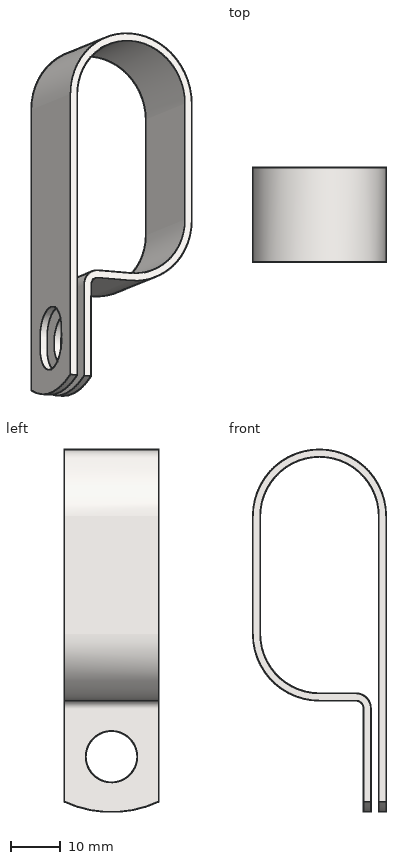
import cadquery as cq
import math

height = 72.9
loop_width = 26.8
strip_width = 19.0
thickness = 1.5

loop_radius = loop_width / 2
straight_length = 23.7
leg_gap = 1.5
bend_inner_radius = 1.5
bend_outer_radius = bend_inner_radius + thickness

hole_diameter = 10.3
hole_height = 11.15
slot_length = 12.75
end_rise = 2.1

inner_radius = loop_radius - thickness
upper_center = height - loop_radius
lower_center = upper_center - straight_length
shelf_bottom = lower_center - loop_radius
shelf_top = shelf_bottom + thickness
short_leg_right = inner_radius - leg_gap
short_leg_left = short_leg_right - thickness
bend_x = short_leg_left - bend_inner_radius
bend_z = shelf_bottom - bend_inner_radius
diagonal = math.sqrt(0.5)


def bent_strip():
    """Constant-thickness strip: long leg, loop, shelf and short leg."""
    return (
        cq.Workplane("XZ")
        .moveTo(loop_radius, 0)
        .lineTo(loop_radius, upper_center)
        .threePointArc((0, height), (-loop_radius, upper_center))
        .lineTo(-loop_radius, lower_center)
        .threePointArc(
            (-loop_radius * diagonal, lower_center - loop_radius * diagonal),
            (0, shelf_bottom),
        )
        .lineTo(bend_x, shelf_bottom)
        .threePointArc(
            (bend_x + bend_inner_radius * diagonal, bend_z + bend_inner_radius * diagonal),
            (short_leg_left, bend_z),
        )
        .lineTo(short_leg_left, 0)
        .lineTo(short_leg_right, 0)
        .lineTo(short_leg_right, bend_z)
        .threePointArc(
            (bend_x + bend_outer_radius * diagonal, bend_z + bend_outer_radius * diagonal),
            (bend_x, shelf_top),
        )
        .lineTo(0, shelf_top)
        .threePointArc(
            (-inner_radius * diagonal, lower_center - inner_radius * diagonal),
            (-inner_radius, lower_center),
        )
        .lineTo(-inner_radius, upper_center)
        .threePointArc((0, height - thickness), (inner_radius, upper_center))
        .lineTo(inner_radius, 0)
        .close()
        .extrude(strip_width / 2, both=True)
    )


def side_silhouette():
    """Strip outline along X, with curved leg ends."""
    half_width = strip_width / 2
    return (
        cq.Workplane("YZ")
        .moveTo(-half_width, height)
        .lineTo(-half_width, end_rise)
        .threePointArc((0, 0), (half_width, end_rise))
        .lineTo(half_width, height)
        .close()
        .extrude(loop_width, both=True)
    )


def short_leg_hole():
    """Round mounting hole through the short leg."""
    return (
        cq.Workplane("YZ", origin=(short_leg_left, 0, hole_height))
        .circle(hole_diameter / 2)
        .extrude(thickness)
    )


def long_leg_slot():
    """Slot through the long leg, as wide as the round hole and lengthened along Z."""
    return (
        cq.Workplane("YZ", origin=(inner_radius, 0, hole_height))
        .slot2D(slot_length, hole_diameter, 90)
        .extrude(thickness)
    )


result = bent_strip().intersect(side_silhouette()).cut(short_leg_hole()).cut(long_leg_slot())